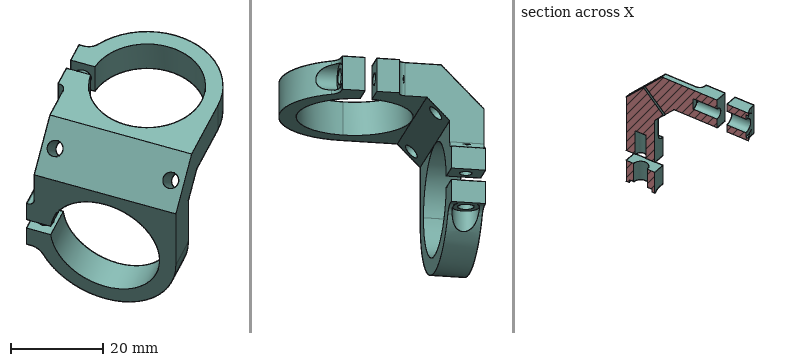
import cadquery as cq
import math


thickness = 7.62
bore_diameter = 25.4
ring_radius = 16.51
bore_offset = 25.4

lug_reach = 18.288
lug_half_height = 6.35
slot_width = 2.6
inner_lug_fillet = 1.524
outer_lug_fillet = 3.175

screw_x = -15.24
clearance_diameter = 3.556
head_diameter = 5.94
tapped_diameter = 2.705
tapped_depth = 7.62

outer_bevel = 9.525
mount_diameter = 3.556
mount_spacing = 26.924

bore_z = -bore_offset
mirror_normal = cq.Vector(0, 1, 1)


def arm_outline():
    """Wire of one arm in the XZ plane: flat sides at the corner, a ring end and two lugs."""
    side_fillet_x = -ring_radius - inner_lug_fillet
    side_fillet_z = bore_z + lug_half_height + inner_lug_fillet
    side_fillet_bulge = inner_lug_fillet * math.sqrt(0.5)

    drop = lug_half_height + outer_lug_fillet
    centre_distance = ring_radius + outer_lug_fillet
    fillet_x = -math.sqrt(centre_distance**2 - drop**2)
    fillet_z = bore_z - drop
    ring_angle = math.asin(drop / centre_distance)
    ring_end = (-ring_radius * math.cos(ring_angle), bore_z - ring_radius * math.sin(ring_angle))
    mid_angle = (math.pi / 2 + ring_angle) / 2
    fillet_mid = (
        fillet_x + outer_lug_fillet * math.cos(mid_angle),
        fillet_z + outer_lug_fillet * math.sin(mid_angle),
    )

    return (
        cq.Workplane("XZ")
        .moveTo(ring_radius, 0)
        .lineTo(ring_radius, bore_z)
        .threePointArc((0, bore_z - ring_radius), ring_end)
        .threePointArc(fillet_mid, (fillet_x, bore_z - lug_half_height))
        .lineTo(-lug_reach, bore_z - lug_half_height)
        .lineTo(-lug_reach, bore_z + lug_half_height)
        .lineTo(side_fillet_x, bore_z + lug_half_height)
        .threePointArc(
            (side_fillet_x + side_fillet_bulge, side_fillet_z - side_fillet_bulge),
            (-ring_radius, side_fillet_z),
        )
        .lineTo(-ring_radius, 0)
        .close()
    )


def vertical_cylinder(diameter, bottom_z, top_z):
    """Cylinder on the clamp screw axis, between two heights."""
    return (
        cq.Workplane("XY", origin=(screw_x, thickness / 2, bottom_z))
        .circle(diameter / 2)
        .extrude(top_z - bottom_z)
    )


def clamp_arm():
    """Arm along Z with its bore, slot and clamp screw hole."""
    arm = arm_outline().extrude(-thickness)

    bore = (
        cq.Workplane("XZ", origin=(0, 0, bore_z))
        .circle(bore_diameter / 2)
        .extrude(-thickness)
    )
    slot = cq.Workplane("XY").box(
        lug_reach, thickness, slot_width, centered=(False, False, True)
    ).translate((-lug_reach, 0, bore_z))

    head_recess = vertical_cylinder(head_diameter, bore_z - ring_radius, bore_z - lug_half_height)
    clearance_hole = vertical_cylinder(clearance_diameter, bore_z - ring_radius, bore_z)
    tapped_hole = vertical_cylinder(tapped_diameter, bore_z, bore_z + tapped_depth)

    return arm.cut(bore).cut(slot).cut(head_recess).cut(clearance_hole).cut(tapped_hole)


def corner_block():
    """Corner between the arms, bevelled outside and inside to the arm thickness."""
    inner_bevel_sum = outer_bevel + thickness * math.sqrt(2)
    inner_reach = inner_bevel_sum - thickness
    return (
        cq.Workplane("YZ", origin=(-ring_radius, 0, 0))
        .polyline([
            (0, -outer_bevel),
            (outer_bevel, 0),
            (inner_reach, 0),
            (inner_reach, -thickness),
            (thickness, -inner_reach),
            (0, -inner_reach),
        ])
        .close()
        .extrude(2 * ring_radius)
    )


def outer_bevel_cut():
    """Prism removed from the sharp outer corner."""
    return (
        cq.Workplane("YZ", origin=(-ring_radius, 0, 0))
        .polyline([(0, 0), (outer_bevel, 0), (0, -outer_bevel)])
        .close()
        .extrude(2 * ring_radius)
    )


def mounting_holes():
    """Two holes square to the bevel, passing right through the corner."""
    bevel_plane = cq.Plane(
        origin=(0, outer_bevel / 2, -outer_bevel / 2),
        xDir=(1, 0, 0),
        normal=(0, 1, -1),
    )
    return (
        cq.Workplane(bevel_plane)
        .pushPoints([(-mount_spacing / 2, 0), (mount_spacing / 2, 0)])
        .circle(mount_diameter / 2)
        .extrude(thickness)
    )


lower_arm = clamp_arm()
rear_arm = lower_arm.mirror(mirror_normal)
bracket = lower_arm.union(rear_arm).union(corner_block())
result = bracket.cut(outer_bevel_cut()).cut(mounting_holes())